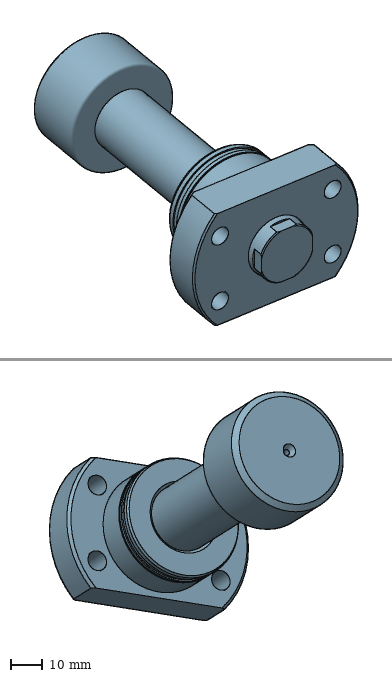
import cadquery as cq
import math


rod_length = 113.0
rod_radius = 11.0
head_radius = 20.0
head_length = 22.3
head_chamfer_length = 1.5
head_chamfer_depth = 2.0
head_fillet = 1.0

taper_start = 108.0
spigot_start = 109.0
spigot_radius = 10.7
spigot_chamfer = 0.4
flat_width = 20.0

centre_mouth_radius = 2.2
centre_pilot_radius = 1.0
centre_cone_angle = 60.0
centre_pilot_length = 3.0
centre_tip_angle = 120.0

housing_start = 75.4
flange_start = 93.0
flange_end = 107.0
barrel_radius = 20.0
barrel_chamfer_length = 0.9
barrel_chamfer_depth = 0.5
ring_groove_start = 78.0
ring_groove_width = 2.0
ring_groove_depth = 0.5
relief_start = 81.4
relief_width = 0.4
relief_depth = 0.15
bore_chamfer = 1.0

flange_radius = 32.5
flange_height = 44.0
front_chamfer = 1.0
rear_chamfer = 0.6
bolt_circle_radius = 25.5
bolt_angles = (30.0, 150.0, 210.0, 330.0)
bolt_hole_diameter = 6.6


def revolve_profile(profile):
    """Close an XY outline and revolve it a full turn about the X axis."""
    return profile.close().revolve(360, (0, 0, 0), (1, 0, 0))


def cylinder(start, length, radius):
    """Cylinder along +X."""
    return cq.Workplane("YZ", origin=(start, 0, 0)).circle(radius).extrude(length)


def ring_cut(start, width, depth):
    """Ring that cuts a square groove into the barrel."""
    inner = cylinder(start, width, barrel_radius - depth)
    return cylinder(start, width, barrel_radius + depth).cut(inner)


def centre_drilling():
    """Countersunk pilot hole with a pointed end."""
    cone_run = centre_mouth_radius - centre_pilot_radius
    cone_depth = cone_run / math.tan(math.radians(centre_cone_angle / 2))
    pilot_end = cone_depth + centre_pilot_length
    tip_length = centre_pilot_radius / math.tan(math.radians(centre_tip_angle / 2))
    return revolve_profile(
        cq.Workplane("XY")
        .lineTo(0, centre_mouth_radius)
        .lineTo(cone_depth, centre_pilot_radius)
        .lineTo(pilot_end, centre_pilot_radius)
        .lineTo(pilot_end + tip_length, 0)
    )


def make_rod():
    body = revolve_profile(
        cq.Workplane("XY")
        .lineTo(0, head_radius - head_chamfer_depth)
        .lineTo(head_chamfer_length, head_radius)
        .lineTo(head_length - head_fillet, head_radius)
        .radiusArc((head_length, head_radius - head_fillet), head_fillet)
        .lineTo(head_length, rod_radius)
        .lineTo(taper_start, rod_radius)
        .lineTo(spigot_start, spigot_radius)
        .lineTo(rod_length - spigot_chamfer, spigot_radius)
        .lineTo(rod_length, spigot_radius - spigot_chamfer)
        .lineTo(rod_length, 0)
    )
    spigot_length = rod_length - spigot_start
    square = (
        cq.Workplane("YZ", origin=(spigot_start, 0, 0))
        .rect(flat_width, flat_width)
        .extrude(spigot_length)
    )
    flats = cylinder(spigot_start, spigot_length, rod_radius).cut(square)
    return body.cut(flats).cut(centre_drilling())


def make_flange():
    disc = revolve_profile(
        cq.Workplane("XY")
        .moveTo(flange_start, 0)
        .lineTo(flange_start, flange_radius - front_chamfer)
        .lineTo(flange_start + front_chamfer, flange_radius)
        .lineTo(flange_end - rear_chamfer, flange_radius)
        .lineTo(flange_end, flange_radius - rear_chamfer)
        .lineTo(flange_end, 0)
    )
    thickness = flange_end - flange_start
    plate = (
        cq.Workplane("YZ", origin=(flange_start, 0, 0))
        .rect(2 * flange_radius, flange_height)
        .extrude(thickness)
    )
    flange = disc.intersect(plate)
    for angle in bolt_angles:
        y = bolt_circle_radius * math.cos(math.radians(angle))
        z = bolt_circle_radius * math.sin(math.radians(angle))
        hole = cylinder(flange_start, thickness, bolt_hole_diameter / 2).translate((0, y, z))
        flange = flange.cut(hole)
    return flange


def make_housing():
    barrel = revolve_profile(
        cq.Workplane("XY")
        .moveTo(housing_start, 0)
        .lineTo(housing_start, barrel_radius - barrel_chamfer_depth)
        .lineTo(housing_start + barrel_chamfer_length, barrel_radius)
        .lineTo(flange_start, barrel_radius)
        .lineTo(flange_start, 0)
    )
    barrel = barrel.cut(ring_cut(ring_groove_start, ring_groove_width, ring_groove_depth))
    barrel = barrel.cut(ring_cut(relief_start, relief_width, relief_depth))
    bore = cylinder(housing_start, flange_end - housing_start, rod_radius)
    bore_mouth = revolve_profile(
        cq.Workplane("XY")
        .moveTo(housing_start, 0)
        .lineTo(housing_start, rod_radius + bore_chamfer)
        .lineTo(housing_start + bore_chamfer, rod_radius)
        .lineTo(housing_start + bore_chamfer, 0)
    )
    return barrel.union(make_flange()).cut(bore).cut(bore_mouth)


rod = make_rod()
housing = make_housing()
result = cq.Compound.makeCompound([rod.val(), housing.val()])